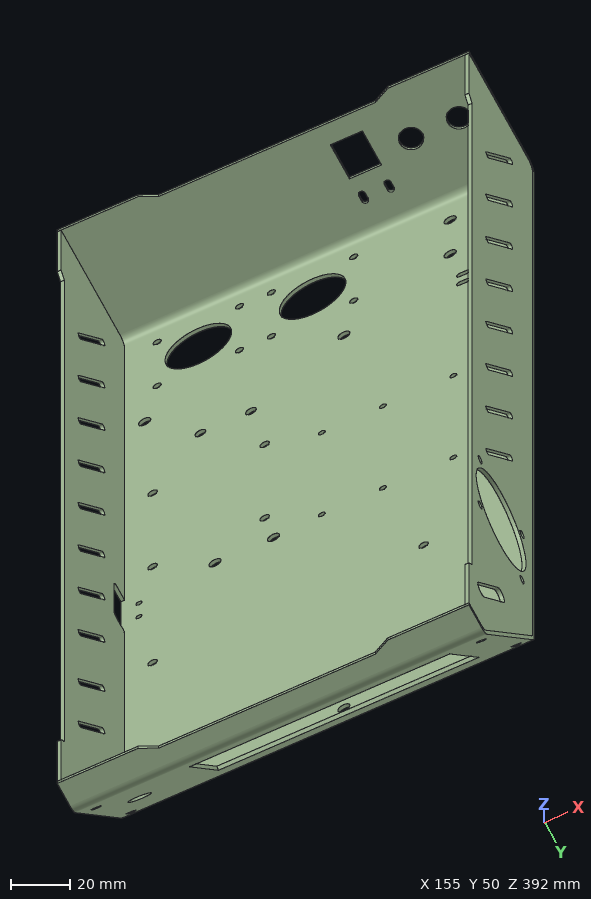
import cadquery as cq
import math

width = 155.0
depth = 50.0
height = 392.0
sheet = 1.5
cut_margin = 1.0

bend_outer = 5.0
bend_inner = bend_outer - sheet
slope_top_z = 57.8
slope_bottom_y = 12.5
slope_angle = math.atan2(depth - slope_bottom_y, slope_top_z)

shell_notch_length = 94.0
shell_notch_depth = 3.0
plate_notch_length = 332.4
plate_notch_depth = 2.5
shell_notch_run = 6.2
plate_notch_run = 3.0

round_opening_xs = (29.2, 72.2)
round_opening_z = 366.0
round_opening_diameter = 25.0
round_opening_pitch = 31.0
round_opening_screw = 3.0

back_post_diameter = 4.5
back_post_points = [
    (124.0, 378.0), (124.0, 354.0),
    (9.0, 329.0), (84.0, 329.0),
    (9.0, 65.2), (84.0, 65.2),
    (35.5, 207.5), (57.5, 207.5),
]
pair_diameter = 4.0
pair_points = [(30.0, 303.8), (49.0, 303.8)]
board_diameter = 3.5
board_points = [
    (12.0, 276.0), (54.2, 276.0), (12.0, 224.0), (54.2, 224.0),
    (12.0, 156.0), (114.0, 156.0), (12.0, 80.0), (114.0, 80.0),
]
module_diameter = 2.5
module_xs = (75.7, 98.7, 125.2)
module_zs = (266.8, 208.9)
cable_screw_diameter = 2.2
cable_screw_x = 6.9
cable_screw_spacing = 9.5

tie_slot_length = 4.8
tie_slot_width = 2.4
back_window_width = 9.7
back_window_height = 8.5
back_window_center = (139.8, 332.7)
back_tie_points = [(128.9, 336.0), (128.9, 330.0)]

socket_width = 12.0
socket_depth = 14.5
socket_center = (103.5, 18.2)
top_tie_points = [(98.6, 33.9), (108.3, 33.9)]
jack_diameter = 8.5
jack_points = [(123.0, 20.8), (141.0, 20.8)]

display_width = 98.0
display_height = 40.6
display_center = (89.6, 31.7)
display_screw_diameter = 3.5
display_screw_xs = (5.0, width - 5.0)
display_screw_rises = (13.1, 62.2)
knob_diameter = 8.5
knob_center = (15.6, 34.6)

vent_length = 33.2
vent_width = 2.3
vent_angle = 54.5
vent_pitch = 30.0
vent_y = 23.2
left_vent_top_z = 351.6
left_low_vent_top_z = 106.8
right_vent_top_z = 354.6
upper_vent_count = 8
left_low_vent_count = 2

low_vent_length = 31.0
low_vent_width = 5.5
low_vent_center = (17.0, 37.0)

cable_notch_length = 22.5
cable_notch_y = 40.4
cable_notch_z = 197.4
cable_notch_radius = 2.0

fan_y = 24.6
fan_z = 101.0
fan_opening = 38.0
fan_screw_pitch = 32.0
fan_screw_diameter = 3.0


def square_points(center_x, center_y, pitch):
    half = pitch / 2
    return [(center_x + i * half, center_y + j * half) for i in (-1, 1) for j in (-1, 1)]


def profile_block(inset, radius, x_start, x_end, front_y):
    """Solid with the side outline of the case, offset inward by `inset`, rounded at its three bends."""
    slope_top_shift = inset * math.tan(slope_angle / 2)
    slope_bottom_shift = inset * math.tan((math.pi / 2 - slope_angle) / 2)
    back_y = depth - inset
    outline = [
        (front_y, inset),
        (front_y, height - inset),
        (back_y, height - inset),
        (back_y, slope_top_z + slope_top_shift),
        (slope_bottom_y - slope_bottom_shift, inset),
    ]
    block = cq.Workplane("YZ", origin=(x_start, 0, 0)).polyline(outline).close().extrude(x_end - x_start)
    bends = cq.selectors.BoxSelector(
        (x_start - cut_margin, front_y + cut_margin, -cut_margin),
        (x_end + cut_margin, depth + cut_margin, height + cut_margin),
    )
    return block.edges("|X").edges(bends).fillet(radius)


def edge_notch(plane, length, notch_depth, notch_run):
    """Closed notch outline centred on the plane's origin, cutting toward its +Y, with sloped ends."""
    half = length / 2
    outline = [
        (-half, -cut_margin),
        (-half, 0),
        (-half + notch_run, notch_depth),
        (half - notch_run, notch_depth),
        (half, 0),
        (half, -cut_margin),
    ]
    return plane.polyline(outline).close()


def back_panel_cuts():
    back = cq.Workplane("XZ", origin=(0, depth + cut_margin, 0))
    reach = sheet + 2 * cut_margin
    round_centers = [(x, round_opening_z) for x in round_opening_xs]
    round_screws = [
        point for x, z in round_centers for point in square_points(x, z, round_opening_pitch)
    ]
    cable_screws = [
        (cable_screw_x, cable_notch_z + side * cable_screw_spacing / 2) for side in (-1, 1)
    ]
    hole_groups = [
        (round_opening_diameter, round_centers),
        (round_opening_screw, round_screws),
        (back_post_diameter, back_post_points),
        (pair_diameter, pair_points),
        (board_diameter, board_points),
        (module_diameter, [(x, z) for x in module_xs for z in module_zs]),
        (cable_screw_diameter, cable_screws),
    ]
    window = back.center(*back_window_center).rect(back_window_width, back_window_height).extrude(reach)
    slots = back.pushPoints(back_tie_points).slot2D(tie_slot_length, tie_slot_width).extrude(reach)
    holes = [back.pushPoints(points).circle(diameter / 2).extrude(reach) for diameter, points in hole_groups]
    return [window, slots] + holes


def top_flange_cuts():
    top = cq.Workplane("XY", origin=(0, 0, height - sheet - cut_margin))
    reach = sheet + 2 * cut_margin
    socket = top.center(*socket_center).rect(socket_width, socket_depth).extrude(reach)
    slots = top.pushPoints(top_tie_points).slot2D(tie_slot_length, tie_slot_width, 90).extrude(reach)
    jacks = top.pushPoints(jack_points).circle(jack_diameter / 2).extrude(reach)
    return [socket, slots, jacks]


def sloped_panel_cuts():
    inward = (0, -math.cos(slope_angle), math.sin(slope_angle))
    slope = cq.Workplane(cq.Plane((0, slope_bottom_y, 0), xDir=(1, 0, 0), normal=inward))
    slope = slope.workplane(offset=-cut_margin)
    reach = sheet + 2 * cut_margin
    screw_points = [(x, rise) for x in display_screw_xs for rise in display_screw_rises]
    display = slope.center(*display_center).rect(display_width, display_height).extrude(reach)
    screws = slope.pushPoints(screw_points).circle(display_screw_diameter / 2).extrude(reach)
    knob = slope.center(*knob_center).circle(knob_diameter / 2).extrude(reach)
    return [display, screws, knob]


def make_shell():
    """Bent sheet spanning the full width: top, back, slope and bottom in one piece."""
    shell = profile_block(0, bend_outer, 0, width, 0)
    cavity = profile_block(sheet, bend_inner, -cut_margin, width + cut_margin, -cut_margin)
    shell = shell.cut(cavity)
    front_plane = cq.Workplane("XY", origin=(width / 2, 0, -cut_margin))
    front_notch = edge_notch(front_plane, shell_notch_length, shell_notch_depth, shell_notch_run)
    shell = shell.cut(front_notch.extrude(height + 2 * cut_margin))
    for cutter in back_panel_cuts() + top_flange_cuts() + sloped_panel_cuts():
        shell = shell.cut(cutter)
    return shell


def vent_column(top_z, count):
    return [(vent_y, top_z - index * vent_pitch) for index in range(count)]


def make_side_plate(x_start, vent_centers):
    """Flat plate filling one open end of the shell, with a front notch and diagonal vents."""
    plate = profile_block(sheet, bend_inner, x_start, x_start + sheet, 0)
    notch_plane = cq.Workplane(cq.Plane((x_start + sheet, 0, height / 2), xDir=(0, 0, 1), normal=(-1, 0, 0)))
    notch = edge_notch(notch_plane, plate_notch_length, plate_notch_depth, plate_notch_run)
    side = cq.Workplane("YZ", origin=(x_start, 0, 0))
    vents = side.pushPoints(vent_centers).slot2D(vent_length, vent_width, vent_angle).extrude(sheet)
    return plate.cut(notch.extrude(sheet)).cut(vents)


def make_left_plate():
    vents = vent_column(left_vent_top_z, upper_vent_count)
    low_vents = vent_column(left_low_vent_top_z, left_low_vent_count)
    plate = make_side_plate(0, vents + low_vents)
    notch_reach = depth - cable_notch_y
    notch = (
        cq.Workplane("YZ")
        .center(cable_notch_y + notch_reach / 2, cable_notch_z)
        .rect(notch_reach, cable_notch_length)
        .extrude(sheet)
        .edges("|X and <Y")
        .fillet(cable_notch_radius)
    )
    return plate.cut(notch)


def make_right_plate():
    x_start = width - sheet
    vents = vent_column(right_vent_top_z, upper_vent_count)
    plate = make_side_plate(x_start, vents)
    side = cq.Workplane("YZ", origin=(x_start, 0, 0))
    low_vent_plane = side.center(*low_vent_center)
    low_vent = low_vent_plane.slot2D(low_vent_length, low_vent_width, vent_angle).extrude(sheet)
    opening = side.center(fan_y, fan_z).circle(fan_opening / 2).extrude(sheet)
    screw_points = square_points(fan_y, fan_z, fan_screw_pitch)
    screws = side.pushPoints(screw_points).circle(fan_screw_diameter / 2).extrude(sheet)
    return plate.cut(low_vent).cut(opening).cut(screws)


shell = make_shell()
left_plate = make_left_plate()
right_plate = make_right_plate()

result = cq.Compound.makeCompound([shell.val(), left_plate.val(), right_plate.val()])